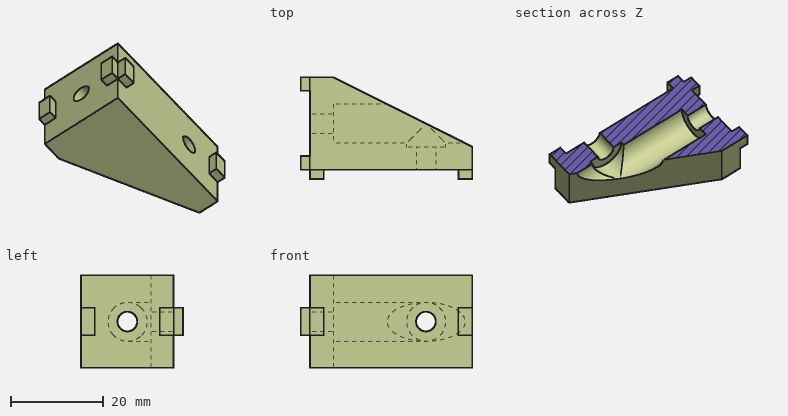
import cadquery as cq

length = 35.0
depth = 20.0
height = 20.0
back_land = 5.0
end_land = 5.0

peg_width = 3.0
peg_height = 6.0
peg_projection = 2.0

hole_diameter = 4.2
counterbore_diameter = 8.4
wall_thickness = 5.0
front_hole_x = 25.0
side_hole_y = depth / 2

mid_z = height / 2


def make_body():
    outline = [
        (0, 0),
        (length, 0),
        (length, end_land),
        (back_land, depth),
        (0, depth),
    ]
    return cq.Workplane("XY").polyline(outline).close().extrude(height)


def make_peg(x, y, size_x, size_y):
    """Peg with its lowest X, Y corner at (x, y), centred on the body height."""
    corner = (x, y, mid_z - peg_height / 2)
    return cq.Workplane("XY").box(size_x, size_y, peg_height, centered=False).translate(corner)


def make_pegs():
    far_peg_x = length - peg_width
    far_peg_y = depth - peg_width
    front_pegs = [make_peg(x, -peg_projection, peg_width, peg_projection) for x in (0, far_peg_x)]
    side_pegs = [make_peg(-peg_projection, y, peg_projection, peg_width) for y in (0, far_peg_y)]
    return front_pegs + side_pegs


def make_counterbored_hole(start, direction, reach):
    """Screw hole from a mounting face, widened beyond the wall and open through the slope."""
    axis = cq.Vector(*direction)
    entry = cq.Vector(*start)
    head_seat = entry + axis * wall_thickness
    hole = cq.Solid.makeCylinder(hole_diameter / 2, reach, entry, axis)
    counterbore = cq.Solid.makeCylinder(
        counterbore_diameter / 2, reach - wall_thickness, head_seat, axis
    )
    return cq.Workplane(hole).union(cq.Workplane(counterbore))


result = make_body()
for peg in make_pegs():
    result = result.union(peg)

result = result.cut(make_counterbored_hole((front_hole_x, 0, mid_z), (0, 1, 0), depth))
result = result.cut(make_counterbored_hole((0, side_hole_y, mid_z), (1, 0, 0), length))